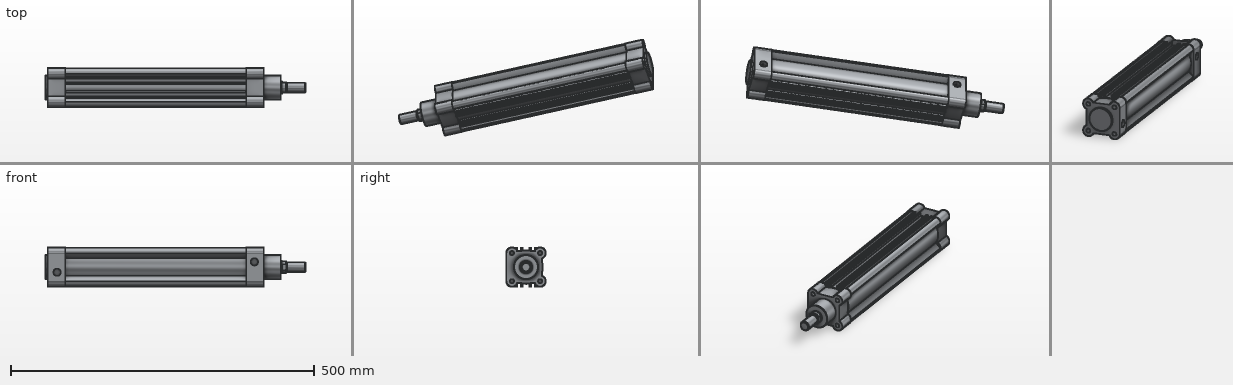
import cadquery as cq
import math


TOTAL_LENGTH = 429.0

CAP_HALF = 32.5
BOLT_HALF = 23.0
CAP_CORNER_R = CAP_HALF - BOLT_HALF
CAP_RECESS_HALF = 26.5
CAP_LENGTH = 29.0
CAPS_SPAN = 356.0
BOLT_HOLE_R = 3.5
BOLT_HOLE_DEPTH = 16.0
PORT_R = 6.0
PORT_DEPTH = 12.0
PORT_INSET = 15.5
PORT_HEIGHT = 8.5

BOSS_R = 20.0
BOSS_CHAMFER = 0.65
REAR_BOSS_LENGTH = 4.0
FRONT_BOSS_LENGTH = 28.5
GLAND_LIP_R = 10.5
GLAND_LIP_LENGTH = 1.5

BARREL_LENGTH = CAPS_SPAN - 2 * CAP_LENGTH
BARREL_R = 28.0
BARREL_HALF = 32.0
LUG_R = BARREL_HALF - BOLT_HALF

RAIL_INNER = 5.5
RAIL_OUTER = 17.5
RAIL_ROOT = 17.0
RAIL_MIDDLE = (RAIL_INNER + RAIL_OUTER) / 2
SLOT_OPENING = 6.0
SLOT_WIDTH = 7.7
SLOT_FLOOR = 25.7
SLOT_LIP_BOTTOM = 28.5

ROD_START = CAPS_SPAN + FRONT_BOSS_LENGTH + GLAND_LIP_LENGTH
ROD_END = TOTAL_LENGTH - REAR_BOSS_LENGTH
ROD_R = 10.0
ROD_CHAMFER = 0.5
THREAD_R = 8.0
THREAD_LENGTH = 32.0
THREAD_CHAMFER = 1.5
RELIEF_R = 7.5
RELIEF_LENGTH = 2.0
FLATS_HALF = 8.5
FLATS_GAP = 1.0


def box(x_range, y_range, z_range):
    """Box between the given limits."""
    size = [high - low for low, high in (x_range, y_range, z_range)]
    corner = (x_range[0], y_range[0], z_range[0])
    return cq.Workplane("XY").box(*size, centered=False).translate(corner)


def bar_x(x_start, length, points, radius):
    """Round bars along X, one centred at each (y, z) point."""
    plane = cq.Workplane("YZ", origin=(x_start, 0, 0))
    return plane.pushPoints(points).circle(radius).extrude(length)


BOLT_CENTRES = [(y, z) for y in (-BOLT_HALF, BOLT_HALF) for z in (-BOLT_HALF, BOLT_HALF)]


def cap(outer_x, inward, port_z):
    """Cap from its outer face at outer_x; inward is +1 or -1 along X."""
    x_start = min(outer_x, outer_x + inward * CAP_LENGTH)
    x_range = (x_start, x_start + CAP_LENGTH)

    core = box(x_range, (-BOLT_HALF, CAP_RECESS_HALF), (-CAP_RECESS_HALF, CAP_RECESS_HALF))
    port_side = box(x_range, (-CAP_HALF, -BOLT_HALF), (-BOLT_HALF, BOLT_HALF))
    body = core.union(port_side)
    body = body.union(bar_x(x_start, CAP_LENGTH, BOLT_CENTRES, CAP_CORNER_R))

    body = body.cut(bar_x(outer_x, inward * BOLT_HOLE_DEPTH, BOLT_CENTRES, BOLT_HOLE_R))

    port_plane = cq.Workplane("XZ", origin=(outer_x + inward * PORT_INSET, -CAP_HALF, port_z))
    return body.cut(port_plane.circle(PORT_R).extrude(-PORT_DEPTH))


def rear_cap_body():
    boss = bar_x(0, -REAR_BOSS_LENGTH, [(0, 0)], BOSS_R)
    boss = boss.faces("<X").chamfer(BOSS_CHAMFER)
    return cap(0, 1, -PORT_HEIGHT).union(boss)


def front_cap_body():
    boss = bar_x(CAPS_SPAN, FRONT_BOSS_LENGTH, [(0, 0)], BOSS_R)
    boss = boss.faces(">X").chamfer(BOSS_CHAMFER)
    lip = bar_x(CAPS_SPAN + FRONT_BOSS_LENGTH, GLAND_LIP_LENGTH, [(0, 0)], GLAND_LIP_R)
    return cap(CAPS_SPAN, -1, PORT_HEIGHT).union(boss).union(lip)


def corner_lug():
    """Lug in the +Y +Z corner: round outer corner and two 45 degree flanks.

    Each flank starts at the end of the round and reaches its axis plane at a height of LUG_R.
    """
    arc_mid = BOLT_HALF + LUG_R * math.sqrt(0.5)
    return (
        cq.Workplane("YZ", origin=(CAP_LENGTH, 0, 0))
        .moveTo(LUG_R, 0)
        .lineTo(BARREL_HALF, BOLT_HALF)
        .threePointArc((arc_mid, arc_mid), (BOLT_HALF, BARREL_HALF))
        .lineTo(0, LUG_R)
        .close()
        .extrude(BARREL_LENGTH)
    )


def slot_rail():
    """Rail with a T-slot, on the +Y side of the top."""
    x_range = (CAP_LENGTH, CAP_LENGTH + BARREL_LENGTH)

    def strip(width, z_range):
        return box(x_range, (RAIL_MIDDLE - width / 2, RAIL_MIDDLE + width / 2), z_range)

    rail = strip(RAIL_OUTER - RAIL_INNER, (RAIL_ROOT, BARREL_HALF))
    opening = strip(SLOT_OPENING, (SLOT_FLOOR, BARREL_HALF))
    undercut = strip(SLOT_WIDTH, (SLOT_FLOOR, SLOT_LIP_BOTTOM))
    return rail, opening.union(undercut)


def barrel_body():
    body = bar_x(CAP_LENGTH, BARREL_LENGTH, [(0, 0)], BARREL_R)
    lug = corner_lug()
    for quarter in range(4):
        body = body.union(lug.rotate((0, 0, 0), (1, 0, 0), 90 * quarter))
    rail, slot = slot_rail()
    for mirrors in ([], ["XZ"], ["XY"], ["XZ", "XY"]):
        placed_rail = rail
        placed_slot = slot
        for plane in mirrors:
            placed_rail = placed_rail.mirror(plane)
            placed_slot = placed_slot.mirror(plane)
        body = body.union(placed_rail).cut(placed_slot)
    return body


def piston_rod_body():
    thread_start = ROD_END - THREAD_LENGTH
    shank_length = thread_start - ROD_START

    shank = bar_x(ROD_START, shank_length, [(0, 0)], ROD_R)
    shank = shank.faces(">X").chamfer(ROD_CHAMFER)
    for y_range in ((-ROD_R, -FLATS_HALF), (FLATS_HALF, ROD_R)):
        shank = shank.cut(box((ROD_START + FLATS_GAP, thread_start), y_range, (-ROD_R, ROD_R)))

    relief = bar_x(thread_start, RELIEF_LENGTH, [(0, 0)], RELIEF_R)
    thread = bar_x(thread_start + RELIEF_LENGTH, THREAD_LENGTH - RELIEF_LENGTH, [(0, 0)], THREAD_R)
    thread = thread.faces(">X").chamfer(THREAD_CHAMFER)
    return shank.union(relief).union(thread)


rear_cap = rear_cap_body()
barrel = barrel_body()
front_cap = front_cap_body()
piston_rod = piston_rod_body()

result = cq.Compound.makeCompound(
    [rear_cap.val(), barrel.val(), front_cap.val(), piston_rod.val()]
)